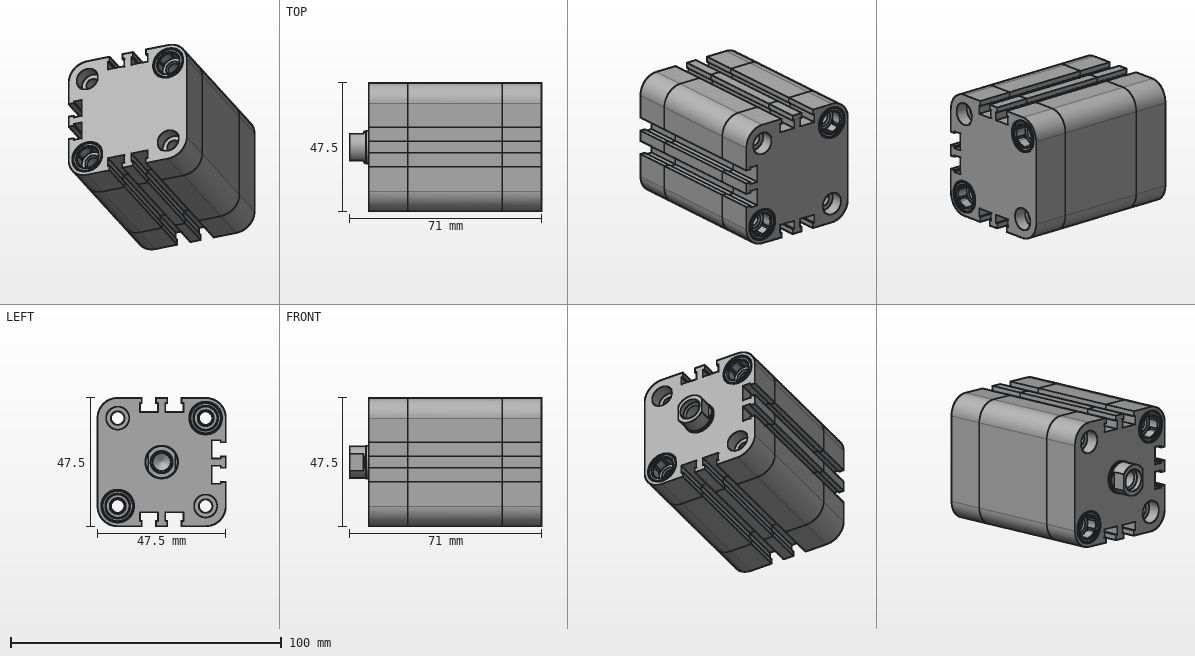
import cadquery as cq
import math


PROFILE_WIDTH = 47.5
CORNER_RADIUS = 7.5
SCREW_OFFSET = PROFILE_WIDTH / 2 - CORNER_RADIUS
CAP_LENGTH = 14.5
BARREL_LENGTH = 35.0
BODY_LENGTH = 2 * CAP_LENGTH + BARREL_LENGTH

SLOT_PITCH = 9.4
SLOT_MOUTH_WIDTH = 5.2
SLOT_INNER_WIDTH = 6.6
SLOT_DEPTH = 5.2
SLOT_LIP = 2.0
SLOTTED_SIDES = (0, 90, 180)

ROD_DIAMETER = 11.8
COLLAR_DIAMETER = 12.2
ROD_PROJECTION = 7.0
COLLAR_PROJECTION = 1.0
COLLAR_CHAMFER = (COLLAR_DIAMETER - ROD_DIAMETER) / 2
ROD_FLATS_WIDTH = 10.0
ROD_FLATS_LENGTH = 5.0
ROD_FLATS_RUNOUT_ANGLE = 60
ROD_ENTRY_DIAMETER = 8.3
ROD_ENTRY_DEPTH = 2.2
ROD_COUNTERSINK_DIAMETER = 8.0
ROD_THREAD_DIAMETER = 6.65
ROD_THREAD_DEPTH = 12.0
DRILL_POINT_ANGLE = 118

HEAD_BORE_DIAMETER = 12.2
HEAD_DIAMETER = 11.7
HEAD_CHAMFER = 0.3
HEAD_LENGTH = 7.0
HEAD_RECESS = 0.2
SHANK_DIAMETER = 8.5
SHANK_RECESS = 5.0
SCREW_LENGTH = BODY_LENGTH - HEAD_RECESS - SHANK_RECESS
SOCKET_ENTRY_DIAMETER = 9.3
SOCKET_PILOT_DIAMETER = 8.57
SOCKET_FLATS = 8.0
SOCKET_DEPTH = 4.3
SOCKET_PILOT_DEPTH = 4.8
SOCKET_ENTRY_DEPTH = 0.6
SCREW_THREAD_DIAMETER = 4.92
THREAD_MOUTH_DIAMETER = 6.0
THREAD_MOUTH_DEPTH = 0.8

SCREW_PLACES = [
    ((y, z), y * z > 0) for y in (-SCREW_OFFSET, SCREW_OFFSET) for z in (-SCREW_OFFSET, SCREW_OFFSET)
]


def cylinder(diameter, start, end):
    """Cylinder along X between two stations."""
    return cq.Workplane("YZ", origin=(start, 0, 0)).circle(diameter / 2).extrude(end - start)


def cone(start_diameter, end_diameter, start, end):
    """Cone along X between two stations."""
    solid = cq.Solid.makeCone(
        start_diameter / 2, end_diameter / 2, end - start, cq.Vector(start, 0, 0), cq.Vector(1, 0, 0)
    )
    return cq.Workplane(solid)


def at_corner(shape, corner, reverse):
    """Move a shape to a corner axis, turned end for end when it enters from the rear."""
    if reverse:
        shape = shape.mirror("YZ").translate((BODY_LENGTH, 0, 0))
    return shape.translate((0, *corner))


def slot_box(width, height):
    """Box along the whole body, centred on the XZ plane and standing on the XY plane."""
    return cq.Workplane("XY").box(BODY_LENGTH, width, height, centered=(False, True, False))


def sensor_slots():
    """List of undercut grooves, a pair on every slotted side."""
    groove = slot_box(SLOT_MOUTH_WIDTH, SLOT_DEPTH).union(slot_box(SLOT_INNER_WIDTH, SLOT_DEPTH - SLOT_LIP))
    floor = PROFILE_WIDTH / 2 - SLOT_DEPTH
    return [
        groove.translate((0, y, floor)).rotate((0, 0, 0), (1, 0, 0), angle)
        for angle in SLOTTED_SIDES
        for y in (-SLOT_PITCH / 2, SLOT_PITCH / 2)
    ]


def tie_screw_hole():
    """Stepped through hole: a bore for the screw head, then a bore for the shank."""
    head = cylinder(HEAD_BORE_DIAMETER, 0, HEAD_RECESS + HEAD_LENGTH)
    return head.union(cylinder(SHANK_DIAMETER, 0, BODY_LENGTH))


def tie_screw():
    """Hollow screw with a chamfered head, a hexagon socket and a thread bore right through."""
    head = cylinder(HEAD_DIAMETER, 0, HEAD_LENGTH).faces("<X").chamfer(HEAD_CHAMFER)
    screw = head.union(cylinder(SHANK_DIAMETER, 0, SCREW_LENGTH))
    hexagon_corners = SOCKET_FLATS / math.cos(math.pi / 6)
    hexagon = (
        cq.Workplane("YZ").polygon(6, hexagon_corners).extrude(SOCKET_DEPTH).rotate((0, 0, 0), (1, 0, 0), 90)
    )
    mouth_end = SOCKET_PILOT_DEPTH + THREAD_MOUTH_DEPTH
    screw = (
        screw.cut(hexagon)
        .cut(cylinder(SOCKET_PILOT_DIAMETER, 0, SOCKET_PILOT_DEPTH))
        .cut(cone(SOCKET_ENTRY_DIAMETER, SOCKET_PILOT_DIAMETER, 0, SOCKET_ENTRY_DEPTH))
        .cut(cone(THREAD_MOUTH_DIAMETER, SCREW_THREAD_DIAMETER, SOCKET_PILOT_DEPTH, mouth_end))
        .cut(cylinder(SCREW_THREAD_DIAMETER, SOCKET_PILOT_DEPTH, SCREW_LENGTH))
    )
    return screw.translate((HEAD_RECESS, 0, 0))


def body_section(start, length):
    """A length of the slotted, rounded square profile with its four tie screw holes."""
    section = (
        cq.Workplane("YZ", origin=(start, 0, 0))
        .rect(PROFILE_WIDTH, PROFILE_WIDTH)
        .extrude(length)
        .edges("|X")
        .fillet(CORNER_RADIUS)
    )
    for groove in sensor_slots():
        section = section.cut(groove)
    for corner, reverse in SCREW_PLACES:
        section = section.cut(at_corner(tie_screw_hole(), corner, reverse))
    return section


def piston_rod():
    """Rod end with a collar, two spanner flats and a drilled thread hole."""
    tip = -ROD_PROJECTION
    collar = cylinder(COLLAR_DIAMETER, -COLLAR_PROJECTION, CAP_LENGTH).faces("<X").chamfer(COLLAR_CHAMFER)
    rod = collar.union(cylinder(ROD_DIAMETER, tip, 0))

    flat_half = ROD_FLATS_WIDTH / 2
    flat_end = tip + ROD_FLATS_LENGTH
    outer = ROD_DIAMETER / 2
    runout = (outer - flat_half) / math.tan(math.radians(ROD_FLATS_RUNOUT_ANGLE))
    flat_cutter = (
        cq.Workplane("XY")
        .moveTo(tip, flat_half)
        .lineTo(flat_end, flat_half)
        .lineTo(flat_end + runout, outer)
        .lineTo(tip, outer)
        .close()
        .extrude(outer, both=True)
    )
    rod = rod.cut(flat_cutter).cut(flat_cutter.mirror("XZ"))

    entry_end = tip + ROD_ENTRY_DEPTH
    cone_end = entry_end + (ROD_COUNTERSINK_DIAMETER - ROD_THREAD_DIAMETER) / 2
    thread_end = tip + ROD_THREAD_DEPTH
    point_length = ROD_THREAD_DIAMETER / 2 / math.tan(math.radians(DRILL_POINT_ANGLE / 2))
    return (
        rod.cut(cylinder(ROD_ENTRY_DIAMETER, tip, entry_end))
        .cut(cone(ROD_COUNTERSINK_DIAMETER, ROD_THREAD_DIAMETER, entry_end, cone_end))
        .cut(cylinder(ROD_THREAD_DIAMETER, cone_end, thread_end))
        .cut(cone(ROD_THREAD_DIAMETER, 0, thread_end, thread_end + point_length))
    )


front_cap = body_section(0, CAP_LENGTH).cut(cylinder(COLLAR_DIAMETER, 0, CAP_LENGTH))
barrel = body_section(CAP_LENGTH, BARREL_LENGTH)
rear_cap = body_section(CAP_LENGTH + BARREL_LENGTH, CAP_LENGTH)
rod = piston_rod()
tie_screws = [at_corner(tie_screw(), corner, reverse) for corner, reverse in SCREW_PLACES]

result = cq.Compound.makeCompound(
    [front_cap.val(), barrel.val(), rear_cap.val(), rod.val(), *[screw.val() for screw in tie_screws]]
)